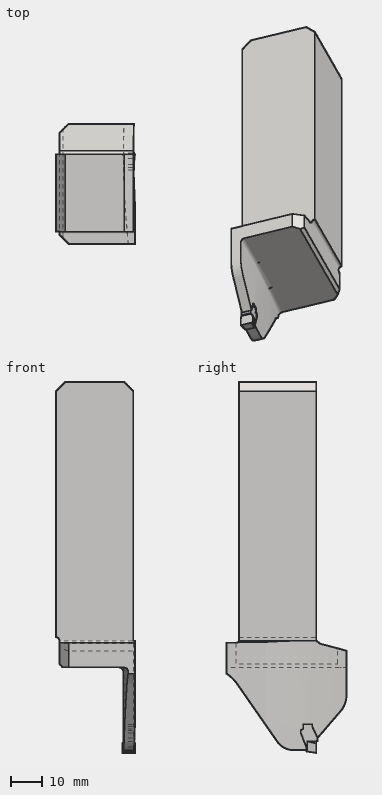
import cadquery as cq
import math


total_height = 119.6
total_width = 25.52

shank_size = 25.0
shank_top_chamfer = 3.0
shank_base_z = 37.3
base_round = 1.1

head_left = base_round
head_front = -4.0
head_back = 34.75
head_top_z = 35.6
head_bottom_z = 27.6
head_corner_chamfer = 3.0
head_bottom_chamfer = 1.1
back_slope_angle = 15.0
collar_round = 0.65
back_collar_length = 1.1
side_collar_drop = 0.5
collar_top_z = head_top_z + collar_round

blade_bottom_z = 0.9
front_flank_angle = 55.2
front_flank_corner_y = 14.3
flank_bend_y = -0.6
flank_end_z = 25.6
bottom_round = 6.5
back_flank_angle = 49.3
back_round = 8.0

blade_axis_y = shank_size
blade_inner_x = 21.65
blade_outer_x = 25.0
blade_inner_radius = 260.0
blade_outer_radius = blade_inner_radius - (blade_outer_x - blade_inner_x)
root_fillet = 1.4

insert_body_left = 21.9
insert_body_right = 25.2
tip_left = 21.45
rake_y = shank_size
seat_y = 25.4
seat_low_z = 3.8
seat_high_z = 4.85
insert_top_z = 9.2
insert_top_front_y = 23.6
insert_top_back_y = 20.7
clamp_face_top_z = 8.7
heel_y = 19.95
heel_low_z = 6.5
heel_high_z = 7.3
heel_bevel_z = 7.8
foot_z = 2.0
insert_back_y = 21.75
tip_back_y = 22.1
tip_top_z = 3.1
tip_side_relief = 0.3
tip_clearance = 0.5

cut_margin = 5.0


def curve_x(nearest_x, radius, y):
    """X of a blade face at a given Y."""
    return nearest_x + radius - math.sqrt(radius ** 2 - (y - blade_axis_y) ** 2)


def curved_plan(nearest_x, radius, closing_x):
    """Plan area between a blade face and the line X = closing_x."""
    start_y = head_front - cut_margin
    end_y = head_back + cut_margin
    return (
        cq.Workplane("XY")
        .moveTo(closing_x, start_y)
        .lineTo(curve_x(nearest_x, radius, start_y), start_y)
        .threePointArc((nearest_x, blade_axis_y), (curve_x(nearest_x, radius, end_y), end_y))
        .lineTo(closing_x, end_y)
        .close()
    )


def make_shank():
    """Shank with a root that reaches down into the head, inside the head's corner bevels."""
    embed_z = head_bottom_z + root_fillet
    arc_mid = base_round * math.sqrt(0.5)
    arc_center_z = shank_base_z - base_round
    return (
        cq.Workplane("XZ")
        .moveTo(0, shank_base_z)
        .threePointArc((arc_mid, arc_center_z + arc_mid), (head_left, arc_center_z))
        .lineTo(head_left, head_top_z)
        .lineTo(head_left + head_corner_chamfer, embed_z)
        .lineTo(shank_size, embed_z)
        .lineTo(shank_size, total_height - shank_top_chamfer)
        .lineTo(shank_size - shank_top_chamfer, total_height)
        .lineTo(shank_top_chamfer, total_height)
        .lineTo(0, total_height - shank_top_chamfer)
        .close()
        .extrude(-shank_size)
    )


def make_head_and_blade_blank():
    """Side outline of head and blade, extruded over the head's width."""
    top_slope = math.tan(math.radians(back_slope_angle))
    collar_mid = collar_round * (1 - math.sqrt(0.5))
    front_slope = math.tan(math.radians(front_flank_angle))
    back_slope = math.tan(math.radians(back_flank_angle))
    flank_bend_z = blade_bottom_z + (front_flank_corner_y - flank_bend_y) * front_slope

    turn = math.radians(front_flank_angle)
    bottom_tangent = bottom_round * math.tan(turn / 2)
    bottom_start_y = front_flank_corner_y + bottom_tangent
    bottom_end = (
        front_flank_corner_y - bottom_tangent * math.cos(turn),
        blade_bottom_z + bottom_tangent * math.sin(turn),
    )

    turn = math.radians(90 - back_flank_angle)
    back_tangent = back_round * math.tan(turn / 2)
    back_corner_z = seat_high_z + (head_back - seat_y) * back_slope
    back_end = (
        head_back - back_tangent * math.sin(turn),
        back_corner_z - back_tangent * math.cos(turn),
    )

    return (
        cq.Workplane("YZ", origin=(head_left, 0, 0))
        .moveTo(head_front, head_top_z)
        .lineTo(-collar_round, head_top_z)
        .threePointArc((-collar_mid, head_top_z + collar_mid), (0, collar_top_z))
        .lineTo(shank_size, collar_top_z)
        .lineTo(shank_size + back_collar_length, head_top_z - back_collar_length * top_slope)
        .lineTo(head_back, head_top_z - (head_back - shank_size) * top_slope)
        .lineTo(head_back, back_corner_z + back_tangent)
        .tangentArcPoint(back_end, relative=False)
        .lineTo(seat_y, seat_high_z)
        .lineTo(insert_back_y, blade_bottom_z)
        .lineTo(bottom_start_y, blade_bottom_z)
        .tangentArcPoint(bottom_end, relative=False)
        .lineTo(flank_bend_y, flank_bend_z)
        .tangentArcPoint((head_front, flank_end_z), relative=False)
        .close()
        .extrude(total_width - head_left)
    )


def make_space_beside_blade():
    """Space below the head and beside the blade, rounded along the blade's root."""
    return (
        curved_plan(blade_inner_x, blade_inner_radius, -cut_margin)
        .extrude(head_bottom_z + cut_margin)
        .translate((0, 0, -cut_margin))
        .faces(">Z")
        .edges(">X")
        .fillet(root_fillet)
    )


def make_side_cut():
    """Space outside the blade's concave +X face."""
    closing_x = blade_outer_x + 2 * cut_margin
    return curved_plan(blade_outer_x, blade_outer_radius, closing_x).extrude(total_height)


def profile_prism(plane, start, corners, length):
    return cq.Workplane(plane, origin=start).polyline(corners).close().extrude(length)


def bevel_head(body):
    """Bevel the head's -X corners, its lower -X edge and its ledge on the +X side."""
    corner = head_corner_chamfer
    for y, inward in ((head_front, 1), (head_back, -1)):
        body = body.cut(profile_prism(
            "XY", (head_left, y, head_bottom_z - cut_margin),
            [(0, 0), (corner, 0), (0, inward * corner)], shank_base_z,
        ))
    depth = head_back - head_front
    side_overhang = total_width - shank_size
    body = body.cut(profile_prism(
        "XZ", (head_left, head_front, head_bottom_z),
        [(0, 0), (head_bottom_chamfer, 0), (0, head_bottom_chamfer)], -depth,
    ))
    return body.cut(profile_prism(
        "XZ", (shank_size, 0, collar_top_z),
        [(0, 0), (side_overhang, -side_collar_drop), (side_overhang, 0)], -shank_size,
    ))


def extrude_insert_outline(left, right):
    """Side outline of the insert, extruded between two X positions."""
    return (
        cq.Workplane("YZ", origin=(left, 0, 0))
        .polyline([
            (rake_y, 0),
            (rake_y, seat_low_z),
            (seat_y, seat_low_z),
            (seat_y, seat_high_z),
            (insert_top_front_y, clamp_face_top_z),
            (insert_top_front_y, insert_top_z),
            (insert_top_back_y, insert_top_z),
            (insert_top_back_y, heel_bevel_z),
            (heel_y, heel_high_z),
            (heel_y, heel_low_z),
            (insert_back_y, foot_z),
            (insert_back_y, tip_clearance),
        ])
        .close()
        .extrude(right - left)
    )


def make_insert():
    body = extrude_insert_outline(insert_body_left, insert_body_right)
    tip_depth = rake_y - tip_back_y
    tip_front = (
        cq.Workplane("XZ", origin=(0, tip_back_y, 0))
        .polyline([
            (tip_left, 0),
            (tip_left, tip_top_z),
            (insert_body_left, seat_low_z),
            (insert_body_right, seat_low_z),
            (total_width, tip_top_z),
            (total_width, 0),
        ])
        .close()
        .extrude(-tip_depth)
    )
    tip_plan = (
        cq.Workplane("XY")
        .polyline([
            (tip_left, rake_y),
            (tip_left + tip_side_relief, tip_back_y),
            (total_width - tip_side_relief, tip_back_y),
            (total_width, rake_y),
        ])
        .close()
        .extrude(seat_low_z)
    )
    clearance = profile_prism(
        "YZ", (tip_left, rake_y, 0),
        [(0, 0), (-tip_depth, 0), (-tip_depth, tip_clearance)], total_width - tip_left,
    )
    tip = tip_front.intersect(tip_plan).cut(clearance)
    return body.union(tip)


def make_holder():
    head = make_head_and_blade_blank().cut(make_space_beside_blade()).cut(make_side_cut())
    return bevel_head(head).union(make_shank())


def make_insert_pocket():
    """Slot through the blade's whole thickness that receives the insert."""
    return extrude_insert_outline(tip_left, total_width)


insert = make_insert()
holder = make_holder().cut(make_insert_pocket()).cut(insert)
result = cq.Compound.makeCompound([*holder.solids().vals(), *insert.solids().vals()])